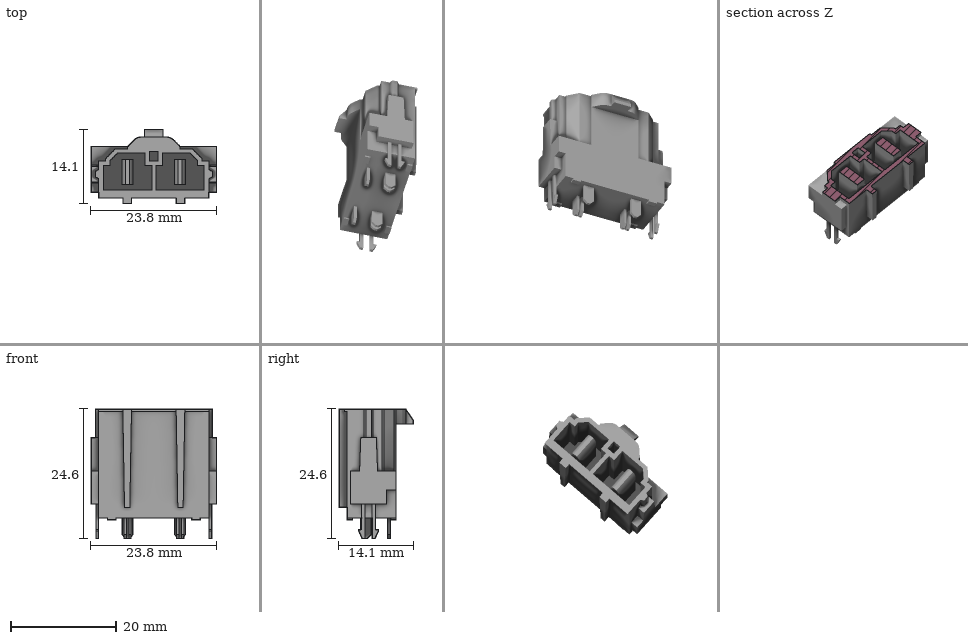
import cadquery as cq


total_width = 23.81
total_height = 24.55
body_width = 20.92
body_bottom = 3.9
ear_top = 12.86
shell_back = 8.86
column_back = 9.3
column_half_width = 4.98
shell_shoulder_y = 6.58
shell_step_x = 9.18
shell_chamfer = 1.9
half_width = body_width / 2
ear_half_width = total_width / 2

lip_depth = 0.52
lip_height = 0.47
rib_spacing = 10.11
rib_depth = 1.52
rib_bottom = 5.95
rib_top_width = 1.65
rib_bottom_width = 1.0

pocket_floor = 6.55
pocket_inner_x = 0.4
pocket_outer_x = 9.55
pocket_front = 1.0
pocket_step_y = 5.67
pocket_back = 8.05
pocket_step_inner_x = 1.67
pocket_step_outer_x = 8.27
pocket_chamfer = 1.4
hole_width = 1.6
hole_front = 6.58
hole_length = 1.82

flange_back = 11.12
flange_thickness = 2.82
flange_corner_radius = 1.96
hook_width = 3.55
hook_back = 12.57
hook_nose_z = 22.41

ear_front = 0.61
ear_bottom = 6.55
ear_step_y = 7.5
ear_step_z = 9.2
tower_top = 19.17
clip_center_y = 4.05
tower_bottom_length = 3.41
tower_top_length = 2.95
key_depth = 0.65
key_root_length = 1.77
key_tip_length = 1.03

clip_thickness = 0.55
clip_gap = 1.33
clip_leg_width = 0.66
clip_tip_width = 0.56
clip_barb = 0.56
barb_top = 1.72
barb_edge = 0.27

foot_spacing = 15.98
foot_width = 1.65
foot_length = 1.0
foot_height = 0.35

contact_spacing = 9.97
blade_width = 2.05
blade_front = 2.1
blade_length = 4.76
blade_top = 20.92
blade_tip_width = 0.74
blade_tip_height = 1.96
tail_chamfer = 0.74
rear_tail_front = 7.65
rear_tail_thickness = 0.55
rail_front = 2.55
rail_length = 2.01
rail_width = 0.47
rail_pitch = 0.93


def block(x_min, x_max, y_min, y_max, z_min, z_max):
    size = (x_max - x_min, y_max - y_min, z_max - z_min)
    return cq.Workplane("XY").box(*size, centered=False).translate((x_min, y_min, z_min))


def prism_up(points, z_min, z_max):
    return cq.Workplane("XY").workplane(offset=z_min).polyline(points).close().extrude(z_max - z_min)


def prism_along_x(yz_points, x_min, x_max):
    return cq.Workplane("YZ").workplane(offset=x_min).polyline(yz_points).close().extrude(x_max - x_min)


def prism_along_y(xz_points, y_min, y_max):
    return cq.Workplane("XZ").workplane(offset=-y_min).polyline(xz_points).close().extrude(y_min - y_max)


def mirrored(points):
    """Closed outline from its +X half, listed from front to back."""
    return points + [(-x, y) for x, y in reversed(points)]


def both_sides(part):
    return part.union(part.mirror("YZ"))


def make_shell():
    outline = mirrored([
        (half_width, 0),
        (half_width, shell_shoulder_y),
        (shell_step_x, shell_shoulder_y),
        (shell_step_x, shell_back - shell_chamfer),
        (shell_step_x - shell_chamfer, shell_back),
    ])
    shell = prism_up(outline, body_bottom, total_height)
    base = block(-half_width, half_width, 0, column_back, body_bottom, ear_top)
    column = block(-column_half_width, column_half_width, 0, column_back, body_bottom, total_height)
    lip = block(-half_width, half_width, -lip_depth, 0, total_height - lip_height, total_height)
    return shell.union(base).union(column).union(lip)


def make_rib(x):
    outline = [
        (x - rib_bottom_width / 2, rib_bottom),
        (x + rib_bottom_width / 2, rib_bottom),
        (x + rib_top_width / 2, total_height),
        (x - rib_top_width / 2, total_height),
    ]
    return prism_along_y(outline, -rib_depth, 0)


def make_pocket():
    outline = [
        (pocket_inner_x, pocket_front),
        (pocket_outer_x, pocket_front),
        (pocket_outer_x, pocket_step_y),
        (pocket_step_outer_x, pocket_step_y),
        (pocket_step_outer_x, pocket_back - pocket_chamfer),
        (pocket_step_outer_x - pocket_chamfer, pocket_back),
        (pocket_step_inner_x, pocket_back),
        (pocket_step_inner_x, pocket_step_y),
        (pocket_inner_x, pocket_step_y),
    ]
    return prism_up(outline, pocket_floor, total_height)


def make_latch():
    slope_run = flange_back - column_back
    flange_bottom = total_height - flange_thickness
    outline = mirrored([
        (column_half_width, shell_back),
        (column_half_width, column_back),
        (column_half_width - slope_run, flange_back),
    ])
    flange = prism_up(outline, flange_bottom, total_height)
    flange = flange.edges("|Z and >Y").fillet(flange_corner_radius)
    hook_profile = [
        (shell_back, flange_bottom),
        (hook_back, flange_bottom),
        (hook_back, hook_nose_z),
        (flange_back, total_height),
        (shell_back, total_height),
    ]
    return flange.union(prism_along_x(hook_profile, -hook_width / 2, hook_width / 2))


def make_ear():
    outline = [
        (ear_front, ear_bottom),
        (ear_step_y, ear_bottom),
        (ear_step_y, ear_step_z),
        (column_back, ear_step_z),
        (column_back, ear_top),
        (clip_center_y + tower_bottom_length / 2, ear_top),
        (clip_center_y + tower_top_length / 2, tower_top),
        (clip_center_y - tower_top_length / 2, tower_top),
        (clip_center_y - tower_bottom_length / 2, ear_top),
        (ear_front, ear_top),
    ]
    return prism_along_x(outline, half_width, ear_half_width)


def make_key():
    outline = [
        (half_width, clip_center_y - key_root_length / 2),
        (half_width + key_depth, clip_center_y - key_tip_length / 2),
        (half_width + key_depth, clip_center_y + key_tip_length / 2),
        (half_width, clip_center_y + key_root_length / 2),
    ]
    return prism_up(outline, ear_top, total_height)


def make_clip_leg(direction):
    """One barbed leg; direction is +1 for the rear leg and -1 for the front leg."""
    inner = clip_gap / 2
    outer = inner + clip_leg_width
    half_outline = [
        (inner, ear_bottom),
        (outer, ear_bottom),
        (outer, barb_top),
        (outer + clip_barb, barb_top),
        (outer + clip_barb, barb_top - barb_edge),
        (inner + clip_tip_width, 0),
        (inner, 0),
    ]
    outline = [(clip_center_y + direction * offset, z) for offset, z in half_outline]
    return prism_along_x(outline, half_width, half_width + clip_thickness)


def make_foot(y_min):
    x_min = (foot_spacing - foot_width) / 2
    return block(x_min, x_min + foot_width, y_min, y_min + foot_length, body_bottom - foot_height, body_bottom)


def pointed_tail(middle, width):
    """Profile of a tail whose tip is chamfered on both sides."""
    half = width / 2
    return [
        (middle - half, body_bottom),
        (middle - half, tail_chamfer),
        (middle - half + tail_chamfer, 0),
        (middle + half - tail_chamfer, 0),
        (middle + half, tail_chamfer),
        (middle + half, body_bottom),
    ]


def make_contact():
    x = contact_spacing / 2
    shoulder_z = blade_top - blade_tip_height
    blade = (
        cq.Workplane("XZ", origin=(x, blade_front, 0))
        .moveTo(0, pocket_floor)
        .lineTo(blade_width / 2, pocket_floor)
        .lineTo(blade_width / 2, shoulder_z)
        .tangentArcPoint((blade_tip_width / 2, blade_top), relative=False)
        .lineTo(0, blade_top)
        .mirrorY()
        .extrude(-blade_length)
    )
    rear_tail = prism_along_y(
        pointed_tail(x, blade_width), rear_tail_front, rear_tail_front + rear_tail_thickness
    )
    contact = blade.union(rear_tail)
    rail_profile = pointed_tail(rail_front + rail_length / 2, rail_length)
    for rail_x in (x - rail_pitch / 2, x + rail_pitch / 2):
        contact = contact.union(
            prism_along_x(rail_profile, rail_x - rail_width / 2, rail_x + rail_width / 2)
        )
    return contact


result = make_shell().union(make_latch())
for rib_x in (-rib_spacing / 2, rib_spacing / 2):
    result = result.union(make_rib(rib_x))

result = result.cut(both_sides(make_pocket()))
result = result.cut(
    block(-hole_width / 2, hole_width / 2, hole_front, hole_front + hole_length, pocket_floor, total_height)
)

paired_features = [
    make_ear(),
    make_key(),
    make_clip_leg(-1),
    make_clip_leg(1),
    make_foot(0),
    make_foot(column_back - foot_length),
    make_contact(),
]
for feature in paired_features:
    result = result.union(both_sides(feature))